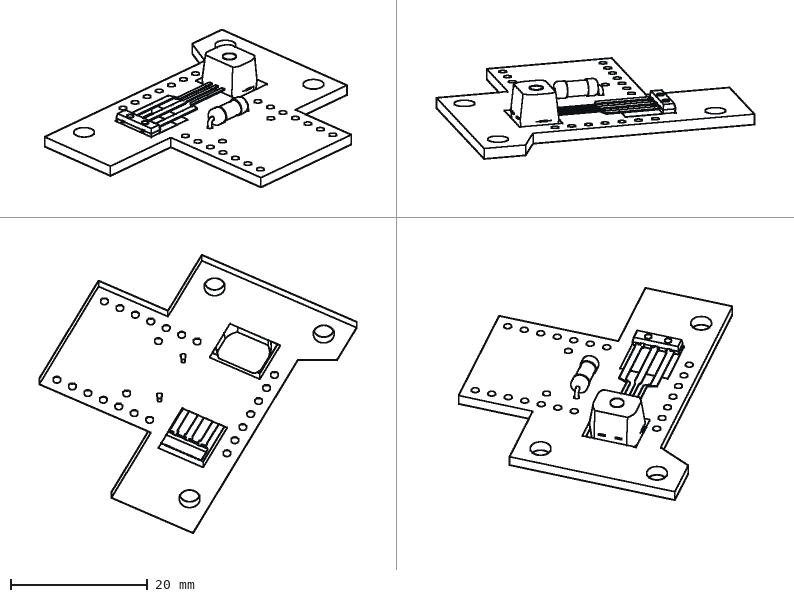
import cadquery as cq


board_width = 36.85
board_length = 42.55
board_top = 1.6
leg_left = 5.1
leg_right = 18.5
head_right = 25.45
wing_bottom = 12.7
wing_top = 31.7
slant_low = 33.65
slant_high = 36.25

mount_diameter = 3.0
mount_centers = [(3.8, 39.35), (21.7, 39.35), (8.25, 5.05)]

header_diameter = 1.1
header_count = 7
header_span = 15.25
header_pitch = header_span / (header_count - 1)
header_left = 6.98
header_bottom = 14.55
wing_first_column = 5
extra_column = 7

sensor_window = (8.55, 16.8, 28.15, 34.7)
block_window = (8.98, 16.35, 10.8, 18.5)

resistor_x = 20.35
resistor_y = 22.8
resistor_length = 6.43
cap_diameter = 2.5
cap_length = 1.6
cap_fillet = 0.6
barrel_diameter = 2.25
wire_diameter = 0.6
wire_hole_diameter = 0.8
wire_spacing = 7.6
wire_bend = 0.6
wire_tail = 1.3
axle_z = board_top + cap_diameter / 2

sensor_x = 12.7
frame_thickness = 0.15
frame_z = board_top + 0.5
dome_top = board_top + 4.45
dome_back = 34.15
dome_front = 28.42
dome_half_width = 3.9
dome_draft_x = 0.65
dome_draft_y = 0.43
side_back = 32.13
side_front = 29.83
back_half_width = 2.5
front_half_width = 3.0
front_narrowing = 0.25
corner_bulge = 0.08
dome_mark_diameter = 2.0
dome_mark_y = 31.0
mark_depth = 0.1

block_left = 9.2
block_right = 16.35
block_front = 10.8
block_back = 12.75
block_half_height = 0.75
block_draft = 0.15
block_mark_diameter = 1.0
block_mark_spacing = 3.0
block_mark_y = 11.75

narrow_width = 0.55
narrow_pitch = 1.28
wide_width = 1.0
wide_pitch = 2.43
spread_start = 21.75
spread_end = 21.2
shoulder_back = 13.55
shoulder_front = 13.1
shoulder_width = 1.28
shoulder_pitch = 2.35
neck_width = 0.55
neck_pitch = 2.05
neck_end = 10.65

tie_width = 1.0
tie_spacing = 2.55
tie_back_end = 34.3
side_tie_y = 31.0
side_tie_overhang = 0.05


def box(left, right, front, back, bottom, top):
    size = (right - left, back - front, top - bottom)
    return cq.Workplane("XY").box(*size, centered=False).translate((left, front, bottom))


def vertical_cylinders(centers, diameter, bottom, top):
    plane = cq.Workplane("XY", origin=(0, 0, bottom))
    return plane.pushPoints(centers).circle(diameter / 2).extrude(top - bottom)


def header_centers():
    """Holes on one grid: a column on the leg, two rows on the wing and one extra hole inside each row."""
    cells = {(0, row) for row in range(header_count)}
    for column in range(header_count):
        cells |= {(wing_first_column + column, 0), (wing_first_column + column, header_count - 1)}
    cells |= {(extra_column, 1), (extra_column, header_count - 2)}
    return [
        (header_left + column * header_pitch, header_bottom + row * header_pitch)
        for column, row in sorted(cells)
    ]


def wire_ends():
    return [(resistor_x, resistor_y + side * wire_spacing / 2) for side in (-1, 1)]


def make_board():
    outline = [
        (leg_left, 0),
        (leg_right, 0),
        (leg_right, wing_bottom),
        (board_width, wing_bottom),
        (board_width, wing_top),
        (head_right, wing_top),
        (head_right, board_length),
        (0, board_length),
        (0, slant_high),
        (leg_left, slant_low),
    ]
    board = cq.Workplane("XY").polyline(outline).close().extrude(board_top)
    for window in (sensor_window, block_window):
        board = board.cut(box(*window, 0, board_top))
    for centers, diameter in (
        (mount_centers, mount_diameter),
        (header_centers(), header_diameter),
        (wire_ends(), wire_hole_diameter),
    ):
        board = board.cut(vertical_cylinders(centers, diameter, 0, board_top))
    return board


def make_wire():
    """One wire from the middle of the resistor through an elbow and down past the board."""
    drop_y = resistor_y + wire_spacing / 2
    path = (
        cq.Workplane("YZ", origin=(resistor_x, 0, 0))
        .moveTo(resistor_y, axle_z)
        .lineTo(drop_y - wire_bend, axle_z)
        .radiusArc((drop_y, axle_z - wire_bend), wire_bend)
        .lineTo(drop_y, -wire_tail)
    )
    start = cq.Workplane("XZ", origin=(resistor_x, resistor_y, axle_z))
    return start.circle(wire_diameter / 2).sweep(path)


def make_resistor():
    def rod(diameter, start, length):
        base = cq.Workplane("XZ", origin=(resistor_x, start, axle_z))
        return base.circle(diameter / 2).extrude(-length)

    front_end = resistor_y - resistor_length / 2
    back_end = resistor_y + resistor_length / 2
    resistor = rod(barrel_diameter, front_end + cap_length, resistor_length - 2 * cap_length)
    front_cap = rod(cap_diameter, front_end, cap_length).faces("<Y").edges().fillet(cap_fillet)
    back_cap = rod(cap_diameter, back_end - cap_length, cap_length).faces(">Y").edges().fillet(cap_fillet)
    wire = make_wire()
    mirrored_wire = wire.mirror("XZ", (resistor_x, resistor_y, axle_z))
    for piece in (front_cap, back_cap, wire, mirrored_wire):
        resistor = resistor.union(piece)
    return resistor


def dome_section(z, draft):
    """Closed outline of the dome at height z; draft is 0 at the parting plane and 1 at the top."""
    half_width = dome_half_width - dome_draft_x * draft
    back = dome_back - dome_draft_y * draft
    front = dome_front + dome_draft_y * draft
    front_half = front_half_width - front_narrowing * draft
    right_side = [
        (front_half, front),
        (half_width, side_front),
        (half_width, side_back),
        (back_half_width, back),
    ]
    left_side = [(-x, y) for x, y in reversed(right_side)]
    corners = [cq.Vector(sensor_x + x, y, z) for x, y in right_side + left_side]
    edges = []
    for index, start in enumerate(corners):
        end = corners[(index + 1) % len(corners)]
        is_rounded_corner = index % 2 == 0
        if is_rounded_corner:
            chord = end - start
            outward = cq.Vector(chord.y, -chord.x, 0)
            middle = (start + end) * 0.5 + outward * corner_bulge
            edges.append(cq.Edge.makeThreePointArc(start, middle, end))
        else:
            edges.append(cq.Edge.makeLine(start, end))
    return cq.Wire.assembleEdges(edges)


def make_dome():
    """Molding drafted both ways from the parting plane; it reaches down to the board's underside."""
    parting = dome_section(frame_z, 0)
    lower_draft = frame_z / (dome_top - frame_z)
    upper = cq.Solid.makeLoft([parting, dome_section(dome_top, 1)], True)
    lower = cq.Solid.makeLoft([dome_section(0, lower_draft), parting], True)
    mark = vertical_cylinders([(sensor_x, dome_mark_y)], dome_mark_diameter, dome_top - mark_depth, dome_top)
    return cq.Workplane(upper).union(cq.Workplane(lower)).cut(mark)


def make_block():
    """Small molding with the same height and draft above and below the parting plane."""
    width = block_right - block_left
    depth = block_back - block_front
    center = ((block_left + block_right) / 2, (block_front + block_back) / 2, frame_z)
    upper = (
        cq.Workplane("XY", origin=center)
        .rect(width, depth)
        .workplane(offset=block_half_height)
        .rect(width - 2 * block_draft, depth - 2 * block_draft)
        .loft(ruled=True)
    )
    block_top = frame_z + block_half_height
    marks = [(sensor_x + side * block_mark_spacing / 2, block_mark_y) for side in (-1, 1)]
    block = upper.union(upper.mirror("XY", center))
    return block.cut(vertical_cylinders(marks, block_mark_diameter, block_top - mark_depth, block_top))


def make_lead(side):
    """Lead from the dome to the block; side is -1, 0 or 1 for left, middle and right."""
    narrow_x = sensor_x + side * narrow_pitch
    wide_x = sensor_x + side * wide_pitch
    shoulder_x = sensor_x + side * shoulder_pitch
    neck_x = sensor_x + side * neck_pitch
    neck_front = neck_end if side else block_mark_y

    stations = [
        (narrow_x, narrow_width, side_front),
        (narrow_x, narrow_width, spread_start),
        (wide_x, wide_width, spread_end),
        (wide_x, wide_width, shoulder_back),
        (shoulder_x, shoulder_width, shoulder_back),
        (shoulder_x, shoulder_width, shoulder_front),
        (neck_x, neck_width, shoulder_front),
        (neck_x, neck_width, neck_front),
    ]
    left_edge = [(x - width / 2, y) for x, width, y in stations]
    right_edge = [(x + width / 2, y) for x, width, y in reversed(stations)]
    plane = cq.Workplane("XY", origin=(0, 0, frame_z - frame_thickness / 2))
    return plane.polyline(left_edge + right_edge).close().extrude(frame_thickness)


def make_tie_bars():
    """Cut ends of the lead frame: two behind the dome, one through both of its sides."""
    bottom = frame_z - frame_thickness / 2
    top = frame_z + frame_thickness / 2
    reach = dome_half_width + side_tie_overhang
    side_front_edge = side_tie_y - tie_width / 2
    side_back_edge = side_tie_y + tie_width / 2
    bars = box(sensor_x - reach, sensor_x + reach, side_front_edge, side_back_edge, bottom, top)
    for side in (-1, 1):
        left = sensor_x + side * tie_spacing / 2 - tie_width / 2
        bars = bars.union(box(left, left + tie_width, side_tie_y, tie_back_end, bottom, top))
    return bars


def make_sensor():
    sensor = make_dome().union(make_tie_bars()).union(make_block())
    for side in (-1, 0, 1):
        sensor = sensor.union(make_lead(side))
    return sensor


board = make_board()
resistor = make_resistor()
sensor = make_sensor()

result = cq.Compound.makeCompound(
    [board.solids().val(), resistor.solids().val(), sensor.solids().val()]
)